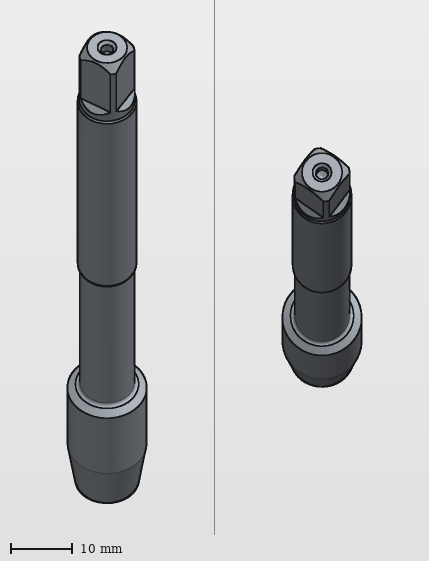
import cadquery as cq
import math

total_length = 110.0
square_bottom = 98.9
shank_top = 96.7
shank_bottom = 54.7
neck_bottom = 24.8
thread_top = 23.2
taper_top = 9.1

collar_diameter = 9.0
shank_diameter = 9.6
neck_diameter = 8.9
core_diameter = 10.2
thread_diameter = 12.9
tip_diameter = 10.5
top_face_diameter = 6.5

square_width = 7.0
top_chamfer_height = 1.4
ramp_run = (collar_diameter - square_width) / 2

shank_chamfer_height = (shank_diameter - neck_diameter) / 2

hole_diameter = 2.0
hole_depth = 2.2
countersink_diameter = 3.1
drill_point_angle = 120.0

neck_fillet_radius = (core_diameter - neck_diameter) / 2
core_top = neck_bottom - neck_fillet_radius


def revolve_profile(stations):
    """Revolve (diameter, height) stations around Z."""
    points = [(diameter / 2, height) for diameter, height in stations]
    return cq.Workplane("XZ").polyline(points).close().revolve(360, (0, 0), (0, 1))


def make_center_hole():
    countersink_depth = (countersink_diameter - hole_diameter) / 2
    point_depth = hole_diameter / 2 / math.tan(math.radians(drill_point_angle / 2))
    return revolve_profile([
        (0, total_length),
        (countersink_diameter, total_length),
        (hole_diameter, total_length - countersink_depth),
        (hole_diameter, total_length - hole_depth),
        (0, total_length - hole_depth - point_depth),
    ])


def make_flat_cutter():
    """Material outside one flat of the square, ending in a 45 degree ramp."""
    flat_x = square_width / 2
    outer_x = flat_x + shank_diameter
    return (
        cq.Workplane("XZ")
        .moveTo(flat_x, total_length)
        .lineTo(flat_x, square_bottom)
        .lineTo(flat_x + ramp_run, square_bottom - ramp_run)
        .lineTo(outer_x, square_bottom - ramp_run)
        .lineTo(outer_x, total_length)
        .close()
        .extrude(shank_diameter, both=True)
    )


def make_neck_fillet():
    """Foot of the neck, flared to the core diameter by a quarter-round fillet."""
    core_radius = core_diameter / 2
    quarter = neck_fillet_radius * math.sqrt(0.5)
    return (
        cq.Workplane("XZ")
        .moveTo(0, core_top)
        .lineTo(core_radius, core_top)
        .threePointArc(
            (core_radius - quarter, neck_bottom - quarter),
            (neck_diameter / 2, neck_bottom),
        )
        .lineTo(0, neck_bottom)
        .close()
        .revolve(360, (0, 0), (0, 1))
    )


def make_tool_body():
    """Square, shank, neck and core turned from one bar."""
    body = revolve_profile([
        (0, 0),
        (core_diameter, 0),
        (core_diameter, core_top),
        (neck_diameter, core_top),
        (neck_diameter, shank_bottom - shank_chamfer_height),
        (shank_diameter, shank_bottom + shank_chamfer_height),
        (shank_diameter, shank_top - shank_chamfer_height),
        (collar_diameter, shank_top),
        (collar_diameter, total_length - top_chamfer_height),
        (top_face_diameter, total_length),
        (0, total_length),
    ])
    body = body.union(make_neck_fillet())
    flat_cutter = make_flat_cutter()
    for angle in (0, 90, 180, 270):
        body = body.cut(flat_cutter.rotate((0, 0, 0), (0, 0, 1), angle))
    return body.cut(make_center_hole())


def make_thread_sleeve():
    """Thread envelope around the core, tapered towards the tip."""
    return revolve_profile([
        (core_diameter, 0),
        (tip_diameter, 0),
        (thread_diameter, taper_top),
        (thread_diameter, thread_top),
        (core_diameter, core_top),
    ])


tool_body = make_tool_body()
thread_sleeve = make_thread_sleeve()

result = cq.Compound.makeCompound([tool_body.val(), thread_sleeve.val()])